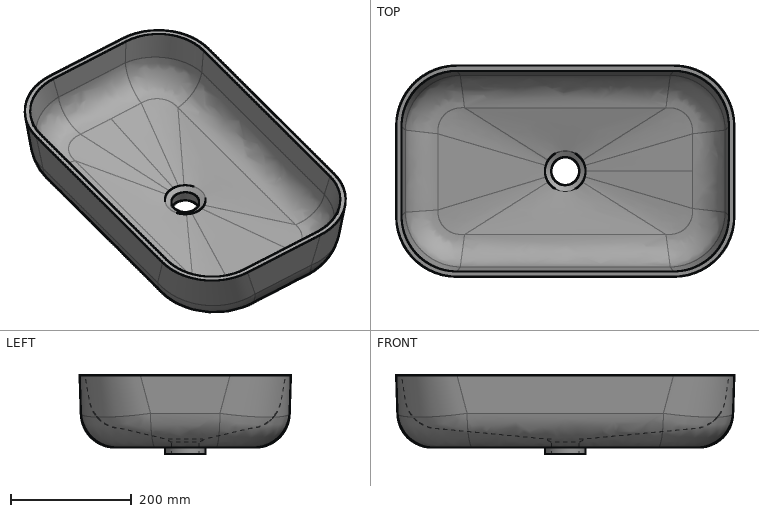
import cadquery as cq

rim_length = 560.0
rim_width = 350.0
rim_corner_radius = 101.0
total_height = 130.5
spout_height = 10.5
body_height = total_height - spout_height
base_inset = 4.0
base_corner_radius = 129.0
base_fillet = 59.0

rim_thickness = 9.0
bowl_corner_radius = rim_corner_radius - rim_thickness
bowl_depth = 88.5
bowl_bottom_length = 515.0
bowl_bottom_width = 301.0
bowl_bottom_corner_radius = 89.5
bowl_fillet = 55.0
floor_fall = 17.0

spout_radius = 33.5
drain_radius = 23.0
drain_seat_depth = 5.5

floor_edge_z = body_height - bowl_depth
drain_rim_z = floor_edge_z - floor_fall
drain_seat_z = drain_rim_z - drain_seat_depth


def rounded_rectangle(length, width, radius, z):
    """Closed wire at height z, centred on the Z axis."""
    outline = cq.Sketch().rect(length, width).vertices().fillet(radius).reset().faces()
    return outline.val().outerWire().moved(cq.Location(cq.Vector(0, 0, z)))


def circle(radius, z):
    return cq.Wire.makeCircle(radius, cq.Vector(0, 0, z), cq.Vector(0, 0, 1))


def inset_rectangle(inset, radius, z):
    """Rounded rectangle set in from the rim outline by the same amount all round."""
    return rounded_rectangle(rim_length - 2 * inset, rim_width - 2 * inset, radius, z)


def ruled_solid(lower, upper):
    return cq.Workplane(cq.Solid.makeLoft([lower, upper], True))


def outer_body():
    base = inset_rectangle(base_inset, base_corner_radius, 0)
    rim = inset_rectangle(0, rim_corner_radius, body_height)
    return ruled_solid(base, rim).faces("<Z").edges().fillet(base_fillet)


def bowl():
    bottom = rounded_rectangle(bowl_bottom_length, bowl_bottom_width, bowl_bottom_corner_radius, floor_edge_z)
    top = inset_rectangle(rim_thickness, bowl_corner_radius, body_height)
    return ruled_solid(bottom, top).faces("<Z").edges().fillet(bowl_fillet)


def sloping_floor(bowl_cutter):
    """Fall from the flat bottom left inside the bowl fillet down to the drain rim."""
    edge = bowl_cutter.faces("<Z").val().outerWire()
    return ruled_solid(circle(spout_radius, drain_rim_z), edge)


def drain_seat():
    return ruled_solid(circle(drain_radius, drain_seat_z), circle(spout_radius, drain_rim_z))


spout = cq.Workplane().circle(spout_radius).extrude(-spout_height)
body = outer_body().union(spout)
drain_hole = cq.Workplane().workplane(offset=-spout_height).circle(drain_radius).extrude(total_height)

bowl_cutter = bowl()
basin = body.cut(bowl_cutter).cut(sloping_floor(bowl_cutter)).cut(drain_seat()).cut(drain_hole)
result = basin.translate((0, 0, spout_height))